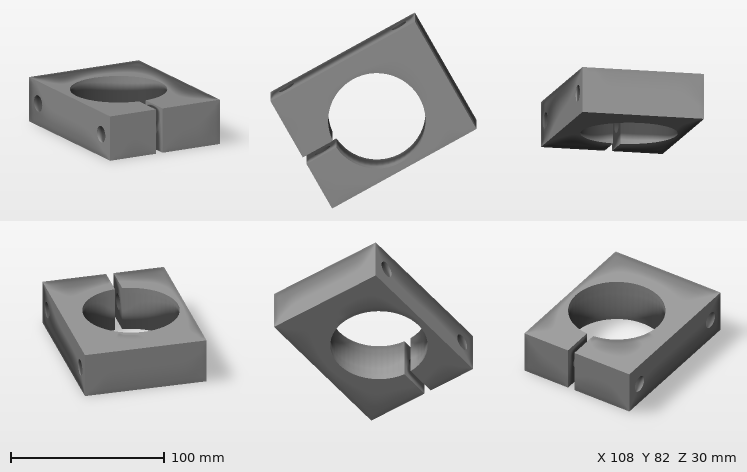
import cadquery as cq

length = 108.0
width = 82.0
height = 30.0

bore_diameter = 63.5
bore_offset_y = -4.4
slot_width = 5.0

bolt_diameter = 11.0
bolt_spacing = 84.0


def make_block():
    return cq.Workplane("XY").box(length, width, height)


def make_bore():
    return cq.Workplane("XY").center(0, bore_offset_y).circle(bore_diameter / 2).extrude(height / 2, both=True)


def make_slot():
    return (
        cq.Workplane("XY")
        .center(0, bore_offset_y)
        .box(length / 2, slot_width, height, centered=(False, True, True))
    )


def make_bolt_holes():
    return (
        cq.Workplane("XZ")
        .pushPoints([(side * bolt_spacing / 2, 0) for side in (-1, 1)])
        .circle(bolt_diameter / 2)
        .extrude(width / 2, both=True)
    )


result = make_block().cut(make_bore()).cut(make_slot()).cut(make_bolt_holes())